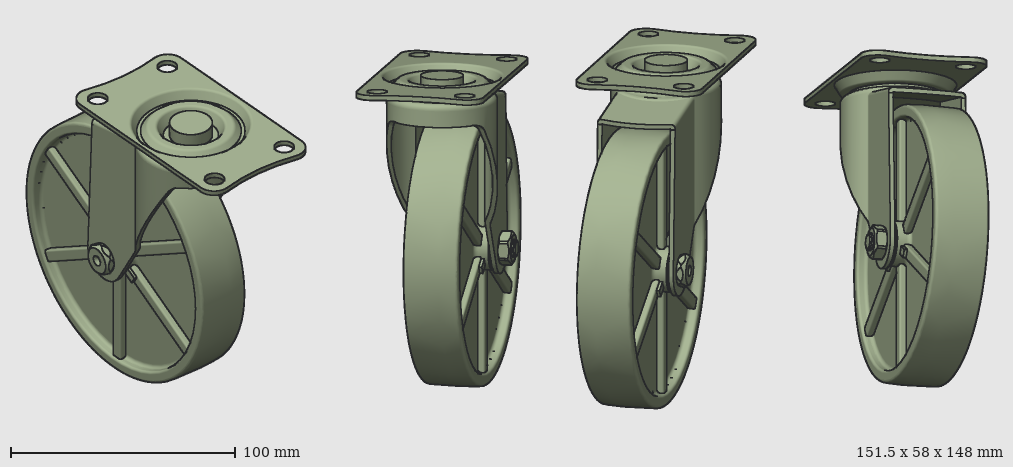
import cadquery as cq
import math


wheel_radius = 62.5
wheel_width = 25.0
tread_crown = 0.5
tread_edge_radius = 1.4
rim_inner_radius = 56.7
rim_edge_radius = 1.2
rim_root_radius = 1.7
web_depth = 4.7
hub_radius = 10.1
hub_half_width = 14.7
hub_edge = 0.5
hub_root_radius = 2.0
bush_radius = 9.1
spoke_count = 6
spoke_width = 5.6
spoke_edge_radius = 0.9
spoke_depth = 1.5
gusset_reach = 15.6
gusset_width = 3.8
gusset_half_width = 12.4
gusset_angles = (30, 150)

swivel_x = 39.0
plate_length = 100.0
plate_width = 58.0
plate_thickness = 2.3
plate_top = 85.5
plate_corner_radius = 7.5
plate_waist = 2.4
plate_hole_diameter = 9.0
plate_hole_pitch_x = 82.0
plate_hole_pitch_y = 40.0
dish_depth = 4.4
crown_drop = 1.5
dish_blank_radius = 28.5
mouth_bend_radius = 1.7
crown_bend_radius = 2.4
well_bend_radius = 1.7
underside_bend_radius = 1.4
mouth_radius = 26.8
floor_outer_radius = 24.1
floor_inner_radius = 22.4
crown_outer_radius = 19.4
crown_inner_radius = 15.3
well_radius = 12.3
underside_mouth_radius = 27.3
underside_floor_outer = 24.5
underside_floor_inner = 20.3
underside_crown_outer = 18.2
underside_crown_inner = 16.4
underside_well_radius = 14.1

fork_width = 35.9
fork_sheet = 2.1
fork_eye_radius = 11.5
fork_head_radius = 24.7
fork_head_top = 77.1
fork_head_edge_radius = 2.9
fork_head_bottom = 66.8
fork_rear_angle = 60.0
fork_rear_fillet = 6.0
fork_bend_radius = 2.0
leg_bend_radius = 1.4
roof_front_x = -8.6
roof_front_z = 69.4
roof_angle = 9.8
roof_bow = 2.5
neck_radius = 20.8
kingpin_radius = 9.5

bolt_radius = 4.0
bolt_end_y = 25.0
bolt_end_chamfer = 0.6
across_flats = 14.0
hex_round_radius = 7.7
hex_face_radius = 6.2
hex_back_radius = 7.0
head_height = 4.2
nut_height = 5.6
nut_chamfer = 1.0
center_hole_radius = 2.4
center_hole_depth = 2.4

touch = 0.02

fork_half_width = fork_width / 2
fork_inner_half = fork_half_width - fork_sheet
dish_bottom = plate_top - plate_thickness - dish_depth
half_width = wheel_width / 2
web_half = half_width - web_depth


def revolve_about_y(points):
    """Solid of revolution about the Y axis from (radius, y) points."""
    return cq.Workplane("XY").polyline(points).close().revolve(360, (0, 0, 0), (0, 1, 0))


def round_rings(body, radius, rounding, wanted):
    """Fillet the circular edges of a given radius whose centres are wanted."""
    rings = [
        edge for edge in body.edges("%CIRCLE").vals()
        if abs(edge.radius() - radius) < touch and wanted(edge.Center())
    ]
    return cq.Workplane(body.val().fillet(rounding, rings))


def cylinder_y(radius, y_start, y_end):
    """Cylinder on the Y axis."""
    return cq.Workplane("XZ", origin=(0, y_start, 0)).circle(radius).extrude(y_start - y_end)


def make_spoke():
    """One spoke along +X, on both sides of the web, with rounded front edges."""
    spoke_end = rim_inner_radius + rim_edge_radius / 2
    return (
        cq.Workplane("XY")
        .box(spoke_end, wheel_width - 2 * spoke_depth, spoke_width, centered=(False, True, True))
        .edges("|X")
        .fillet(spoke_edge_radius)
    )


def make_gusset():
    """Raised strip along +X on a spoke, from the hub outwards."""
    return cq.Workplane("XY").box(
        gusset_reach, 2 * gusset_half_width, gusset_width, centered=(False, True, True)
    )


def make_wheel():
    shoulder = wheel_radius - tread_crown
    rim = (
        cq.Workplane("XY")
        .moveTo(shoulder, -half_width)
        .threePointArc((wheel_radius, 0), (shoulder, half_width))
        .lineTo(rim_inner_radius, half_width)
        .lineTo(rim_inner_radius, web_half)
        .lineTo(0, web_half)
        .lineTo(0, -web_half)
        .lineTo(rim_inner_radius, -web_half)
        .lineTo(rim_inner_radius, -half_width)
        .close()
        .revolve(360, (0, 0, 0), (0, 1, 0))
    )

    rounded = (
        (shoulder, half_width, tread_edge_radius),
        (rim_inner_radius, half_width, rim_edge_radius),
        (rim_inner_radius, web_half, rim_root_radius),
    )
    for radius, y, rounding in rounded:
        rim = round_rings(rim, radius, rounding, lambda center, y=y: abs(abs(center.y) - y) < touch)

    hub = cylinder_y(hub_radius, -hub_half_width, hub_half_width).faces("<Y or >Y").chamfer(hub_edge)
    wheel = round_rings(
        rim.union(hub), hub_radius, hub_root_radius,
        lambda center: abs(abs(center.y) - web_half) < touch,
    )
    for i in range(spoke_count):
        spoke_angle = 90 + i * 360 / spoke_count
        wheel = wheel.union(make_spoke().rotate((0, 0, 0), (0, 1, 0), spoke_angle))
    for gusset_angle in gusset_angles:
        wheel = wheel.union(make_gusset().rotate((0, 0, 0), (0, 1, 0), gusset_angle))
    bush = cylinder_y(bush_radius, -fork_inner_half, fork_inner_half)
    bore = cylinder_y(bolt_radius, -fork_width, fork_width)
    return wheel.union(bush).cut(bore)


def plate_outline():
    """Plate with round corners running tangentially into concave ends, centred on the swivel axis."""
    half_length = plate_length / 2
    half_plate = plate_width / 2
    corner_x = half_length - plate_corner_radius
    corner_y = half_plate - plate_corner_radius
    waist_x = half_length - plate_waist
    gap = waist_x - corner_x
    concave_radius = (gap**2 + corner_y**2 - plate_corner_radius**2) / (2 * (plate_corner_radius - gap))
    concave_x = waist_x + concave_radius
    turn = math.atan2(corner_y, concave_x - corner_x)
    join_x = corner_x + plate_corner_radius * math.cos(turn)
    join_y = corner_y - plate_corner_radius * math.sin(turn)
    mid_angle = (math.pi / 2 - turn) / 2
    mid_x = corner_x + plate_corner_radius * math.cos(mid_angle)
    mid_y = corner_y + plate_corner_radius * math.sin(mid_angle)
    return (
        cq.Workplane("XY", origin=(swivel_x, 0, plate_top - plate_thickness))
        .moveTo(-corner_x, half_plate)
        .lineTo(corner_x, half_plate)
        .threePointArc((mid_x, mid_y), (join_x, join_y))
        .threePointArc((waist_x, 0), (join_x, -join_y))
        .threePointArc((mid_x, -mid_y), (corner_x, -half_plate))
        .lineTo(-corner_x, -half_plate)
        .threePointArc((-mid_x, -mid_y), (-join_x, -join_y))
        .threePointArc((-waist_x, 0), (-join_x, join_y))
        .threePointArc((-mid_x, mid_y), (-corner_x, half_plate))
        .close()
    )


def make_plate():
    floor = plate_top - dish_depth
    crown = plate_top - crown_drop
    plate_bottom = plate_top - plate_thickness
    upper = [
        (mouth_radius, plate_top), (floor_outer_radius, floor), (floor_inner_radius, floor),
        (crown_outer_radius, crown), (crown_inner_radius, crown), (well_radius, dish_bottom),
    ]
    lower = [
        (underside_well_radius, dish_bottom), (underside_crown_inner, crown - plate_thickness),
        (underside_crown_outer, crown - plate_thickness), (underside_floor_inner, dish_bottom),
        (underside_floor_outer, dish_bottom), (underside_mouth_radius, plate_bottom),
    ]
    section = [(dish_blank_radius, plate_top)] + upper + lower + [(dish_blank_radius, plate_bottom)]
    dish = cq.Workplane("XZ").polyline(section).close().revolve(360, (0, 0, 0), (0, 1, 0))
    bends = (
        (mouth_radius, mouth_bend_radius),
        (crown_outer_radius, crown_bend_radius),
        (crown_inner_radius, well_bend_radius),
        (underside_floor_outer, underside_bend_radius),
    )
    for radius, rounding in bends:
        dish = round_rings(dish, radius, rounding, lambda center: True)
    dish = dish.translate((swivel_x, 0, 0))

    sheet = plate_outline().extrude(plate_thickness)
    opening = (
        cq.Workplane("XY", origin=(swivel_x, 0, dish_bottom))
        .circle(dish_blank_radius)
        .extrude(2 * dish_depth)
    )
    holes = (
        cq.Workplane("XY", origin=(swivel_x, 0, dish_bottom))
        .rect(plate_hole_pitch_x, plate_hole_pitch_y, forConstruction=True)
        .vertices()
        .circle(plate_hole_diameter / 2)
        .extrude(2 * dish_depth)
    )
    return sheet.cut(opening).union(dish).cut(holes)


def make_fork():
    roof_slope = math.tan(math.radians(roof_angle))
    rear = math.radians(fork_rear_angle)
    roof_z_at_swivel = roof_front_z + (swivel_x - roof_front_x) * roof_slope
    nose_x = roof_front_x - roof_bow
    nose_z = roof_front_z - roof_bow * roof_slope

    tangent_x = fork_eye_radius * math.sin(rear)
    tangent_z = -fork_eye_radius * math.cos(rear)
    rear_top_x = tangent_x + (fork_head_bottom - tangent_z) / math.tan(rear)
    rear_end_x = swivel_x + 2 * fork_head_radius

    def side_profile(width):
        """Side outline of the fork up to the top of its head, extruded across the given width."""
        profile = (
            cq.Workplane("XZ")
            .moveTo(-fork_eye_radius, 0)
            .threePointArc((0, -fork_eye_radius), (tangent_x, tangent_z))
            .lineTo(rear_top_x, fork_head_bottom)
            .lineTo(rear_end_x, fork_head_bottom)
            .lineTo(rear_end_x, fork_head_top)
            .lineTo(nose_x, fork_head_top)
            .lineTo(nose_x, fork_head_bottom)
            .lineTo(roof_front_x, fork_head_bottom)
            .close()
            .extrude(width / 2, both=True)
        )
        corner = cq.selectors.NearestToPointSelector((rear_top_x, 0, fork_head_bottom))
        return profile.edges("|Y").edges(corner).fillet(fork_rear_fillet)

    def below_roof(drop, width):
        """Block under the sloping roof, lowered by drop and ending at the swivel axis."""
        low_z = -2 * fork_eye_radius
        return (
            cq.Workplane("XZ")
            .moveTo(nose_x - fork_width, low_z)
            .lineTo(nose_x - fork_width, nose_z - fork_width * roof_slope - drop)
            .lineTo(swivel_x, roof_z_at_swivel - drop)
            .lineTo(swivel_x, low_z)
            .close()
            .extrude(width / 2, both=True)
        )

    channel = below_roof(0, fork_width)
    channel = channel.faces(">Z").edges("not |Y").fillet(fork_bend_radius)
    channel = channel.intersect(side_profile(fork_width))
    bow = (
        cq.Workplane("XY")
        .moveTo(swivel_x, -fork_half_width)
        .lineTo(roof_front_x, -fork_half_width)
        .threePointArc((nose_x, 0), (roof_front_x, fork_half_width))
        .lineTo(swivel_x, fork_half_width)
        .close()
        .extrude(fork_head_top)
    )
    upper_zone = cq.Workplane("XY", origin=(0, 0, fork_head_bottom)).box(
        4 * fork_head_radius, fork_width, fork_head_top, centered=(True, True, False)
    )
    channel = channel.cut(upper_zone.cut(bow))

    head = (
        cq.Workplane("XY", origin=(swivel_x, 0, 0))
        .circle(fork_head_radius)
        .extrude(fork_head_top)
        .faces(">Z")
        .edges()
        .fillet(fork_head_edge_radius)
        .intersect(side_profile(4 * fork_head_radius))
    )
    head_hollow = (
        cq.Workplane("XY", origin=(swivel_x, 0, 0))
        .circle(fork_head_radius - fork_sheet)
        .extrude(fork_head_top - fork_sheet)
    )
    gap = below_roof(fork_sheet, 2 * fork_inner_half)
    head_ceiling = cq.Workplane("XY", origin=(0, 0, fork_head_top - fork_sheet)).box(
        4 * fork_head_radius, fork_width, fork_head_top, centered=(True, True, False)
    )
    fold_x = swivel_x - math.sqrt(fork_head_radius**2 - fork_half_width**2)
    shell = channel.union(head)
    folds = cq.selectors.BoxSelector(
        (fold_x - touch, -fork_width, 0), (fold_x + touch, fork_width, fork_head_bottom)
    )
    shell = shell.edges(folds).fillet(leg_bend_radius)
    fork = shell.cut(head_hollow).cut(gap.cut(head_ceiling))

    neck_and_pin = (
        cq.Workplane("XY", origin=(swivel_x, 0, fork_head_top - fork_sheet))
        .circle(neck_radius)
        .extrude(dish_bottom - fork_head_top + fork_sheet)
        .faces(">Z")
        .workplane()
        .circle(kingpin_radius)
        .extrude(plate_top - dish_bottom)
    )
    bore = cylinder_y(bolt_radius, -fork_width, fork_width)
    return fork.union(neck_and_pin).cut(bore)


def hexagon(y_start, y_end):
    """Hexagonal prism on the Y axis with a corner pointing up."""
    across_corners = across_flats / math.cos(math.pi / 6)
    return (
        cq.Workplane("XZ", origin=(0, y_start, 0))
        .polygon(6, across_corners)
        .extrude(y_start - y_end)
        .rotate((0, 0, 0), (0, 1, 0), 90)
    )


def make_bolt():
    seat = -fork_half_width
    face = seat - head_height
    rounding = revolve_about_y([
        (0, face), (hex_face_radius, face), (hex_round_radius, seat - head_height / 2),
        (hex_back_radius, seat), (0, seat),
    ])
    head = hexagon(face, seat).intersect(rounding)
    center_hole = revolve_about_y([(0, face), (center_hole_radius, face), (0, face + center_hole_depth)])
    shank = cylinder_y(bolt_radius, seat, bolt_end_y).faces(">Y").chamfer(bolt_end_chamfer)
    return head.cut(center_hole).union(shank)


def make_nut():
    seat = fork_half_width
    face = seat + nut_height
    rounding = revolve_about_y([
        (0, seat), (hex_back_radius, seat), (hex_round_radius, seat + nut_chamfer / 2),
        (hex_round_radius, face - nut_chamfer), (hex_face_radius, face), (0, face),
    ])
    return hexagon(seat, face).intersect(rounding).cut(cylinder_y(bolt_radius, seat, face))


wheel = make_wheel()
plate = make_plate()
fork = make_fork()
bolt = make_bolt()
nut = make_nut()

result = cq.Compound.makeCompound([wheel.val(), plate.val(), fork.val(), bolt.val(), nut.val()])